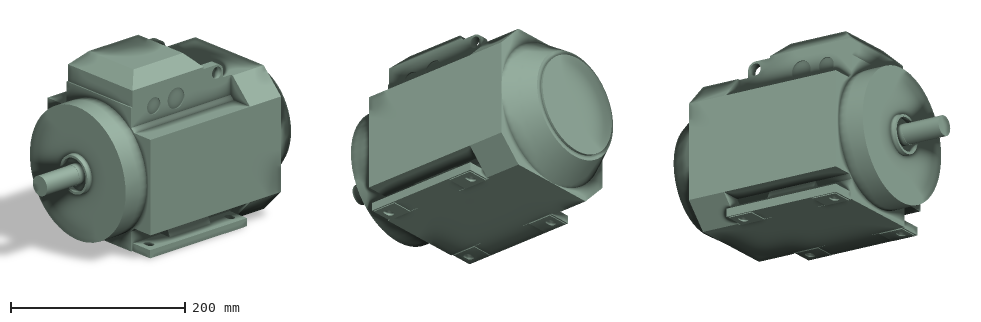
import cadquery as cq


body_half = 88.5
body_corner = 30.0
body_half_height = 89.0
body_length = 202.0
notch_length = 153.8
notch_wall_x = 55.5
notch_ledge_z = 59.0
notch_bevel = 5.0

flange_radius = 82.2
flange_length = 32.8
seal_rear_radius = 24.5
seal_front_radius = 23.5
seal_bore_radius = 20.5
seal_length = 6.3
seal_recess_depth = 6.3
shoulder_radius = 12.5
shoulder_end = 41.8
shaft_radius = 12.3
shaft_end = 91.0

cover_front_radius = 88.5
cover_rear_radius = 66.5
cover_length = 35.0
cap_radius = 60.5
cap_length = 3.3

box_front_y = 2.0
box_length = 110.0
box_wall_top = 109.5
box_top = 126.3
box_slope = box_top - box_wall_top

lug_top = 107.0
lug_thickness = 11.5
lug_hole_radius = 7.3
lug_eye_y = 132.3
lug_round = 10.0

entry_z = 82.2
entry_depth = 1.5
cable_entries = [(69.3, 13.0), (34.8, 10.3)]

foot_inner_x = 56.0
foot_outer_x = 85.5
foot_top = -79.0
foot_front_y = 2.0
foot_length = 150.0
pad_outer_x = 84.0
pad_height = 1.0
pad_length = 30.8
pad_inset = 2.0
foot_slot_x = 70.0
foot_slot_width = 9.3
foot_slot_length = 14.0
foot_slot_front_y = 14.3
foot_slot_spacing = 125.0
web_front_y = 46.0
web_length = 63.0
web_top_x = 61.0
web_bottom_x = 70.5


def box_between(x_range, y_range, z_range):
    """Box that fills the given ranges along X, Y and Z."""
    corner = (x_range[0], y_range[0], z_range[0])
    size = (x_range[1] - x_range[0], y_range[1] - y_range[0], z_range[1] - z_range[0])
    return cq.Workplane("XY").box(*size, centered=False).translate(corner)


def extrude_along_y(points, start, length):
    """Prism of an outline of (X, Z) points, running toward +Y."""
    return cq.Workplane("XZ", origin=(0, start, 0)).polyline(points).close().extrude(-length)


def cylinder_y(radius, start, end):
    """Cylinder on the shaft axis between two Y positions."""
    return cq.Workplane("XZ", origin=(0, start, 0)).circle(radius).extrude(start - end)


def make_housing():
    """Octagonal block with a stepped notch along each corner of its front part."""
    housing = (
        cq.Workplane("XZ")
        .rect(2 * body_half, 2 * body_half_height)
        .extrude(-body_length)
        .edges("|Y")
        .chamfer(body_corner)
    )
    for side in (-1, 1):
        for level in (-1, 1):
            outline = [
                (side * body_half, level * notch_ledge_z),
                (side * (notch_wall_x + notch_bevel), level * notch_ledge_z),
                (side * notch_wall_x, level * (notch_ledge_z + notch_bevel)),
                (side * notch_wall_x, level * body_half_height),
                (side * body_half, level * body_half_height),
            ]
            housing = housing.cut(extrude_along_y(outline, 0, notch_length))
    return housing


def make_fan_cover():
    """Conical rear cover with a flat round cap."""
    rear = body_length + cover_length
    cap_rear = rear + cap_length
    return (
        cq.Workplane("XY")
        .moveTo(0, body_length)
        .lineTo(cover_front_radius, body_length)
        .lineTo(cover_rear_radius, rear)
        .lineTo(cap_radius, rear)
        .lineTo(cap_radius, cap_rear)
        .lineTo(0, cap_rear)
        .close()
        .revolve(360, (0, 0, 0), (0, 1, 0))
    )


def make_front_end():
    """End shield, hollow tapered seal ring and stepped shaft."""
    seal_front = -flange_length - seal_length
    seal = (
        cq.Workplane("XY")
        .polyline(
            [
                (0, -flange_length),
                (seal_rear_radius, -flange_length),
                (seal_front_radius, seal_front),
                (0, seal_front),
            ]
        )
        .close()
        .revolve(360, (0, 0, 0), (0, 1, 0))
    )
    shield = cylinder_y(flange_radius, 0, -flange_length).union(seal)
    shield = shield.cut(cylinder_y(seal_bore_radius, seal_front, seal_front + seal_recess_depth))
    shoulder = cylinder_y(shoulder_radius, 0, -shoulder_end)
    return shield.union(shoulder).union(cylinder_y(shaft_radius, 0, -shaft_end))


def make_terminal_box():
    """Box on top of the housing with a lid that slopes in on all four sides."""
    return (
        box_between(
            (-notch_wall_x, notch_wall_x),
            (box_front_y, box_front_y + box_length),
            (notch_ledge_z, box_top),
        )
        .faces(">Z")
        .chamfer(box_slope)
    )


def make_lugs():
    """Two lifting eyes behind the terminal box, in line with its side walls."""
    lug_rear = lug_eye_y + lug_round
    eye_z = lug_top - lug_round
    lugs = (
        box_between(
            (-notch_wall_x, notch_wall_x),
            (box_front_y + box_length, lug_rear),
            (notch_ledge_z, lug_top),
        )
        .edges(">Y and >Z")
        .fillet(lug_round)
    )
    gap_half = notch_wall_x - lug_thickness
    gap = box_between((-gap_half, gap_half), (box_front_y + box_length, lug_rear), (notch_ledge_z, lug_top))
    eye = cq.Workplane("YZ").center(lug_eye_y, eye_z).circle(lug_hole_radius).extrude(notch_wall_x, both=True)
    return lugs.cut(gap).cut(eye)


def make_cable_entries():
    """Shallow round recesses in both side walls."""
    recesses = cq.Workplane("XY")
    for y, radius in cable_entries:
        for side in (-1, 1):
            recess = (
                cq.Workplane("YZ", origin=(side * notch_wall_x, y, entry_z))
                .circle(radius)
                .extrude(-side * entry_depth)
            )
            recesses = recesses.add(recess)
    return recesses


def make_foot():
    """Foot on the +X side: a long plate with two slots, two pads and a web up to the housing."""
    foot_rear_y = foot_front_y + foot_length
    foot = box_between(
        (foot_inner_x, foot_outer_x), (foot_front_y, foot_rear_y), (-body_half_height, foot_top)
    )
    for pad_y in (foot_front_y + pad_inset, foot_rear_y - pad_inset - pad_length):
        pad = box_between(
            (foot_inner_x, pad_outer_x),
            (pad_y, pad_y + pad_length),
            (-body_half_height - pad_height, -body_half_height),
        )
        foot = foot.union(pad)
    slot_ys = (foot_slot_front_y, foot_slot_front_y + foot_slot_spacing)
    slots = (
        cq.Workplane("XY", origin=(0, 0, foot_top))
        .pushPoints([(foot_slot_x, y) for y in slot_ys])
        .slot2D(foot_slot_length, foot_slot_width)
        .extrude(-(foot_top + body_half_height + pad_height))
    )
    web_outline = [
        (notch_wall_x, -notch_ledge_z),
        (web_top_x, -notch_ledge_z),
        (web_bottom_x, foot_top),
        (web_bottom_x, -body_half_height),
        (notch_wall_x, -body_half_height),
    ]
    return foot.cut(slots).union(extrude_along_y(web_outline, web_front_y, web_length))


foot = make_foot()
result = (
    make_housing()
    .union(make_fan_cover())
    .union(make_front_end())
    .union(make_terminal_box())
    .union(make_lugs())
    .cut(make_cable_entries())
    .union(foot)
    .union(foot.mirror("YZ"))
)